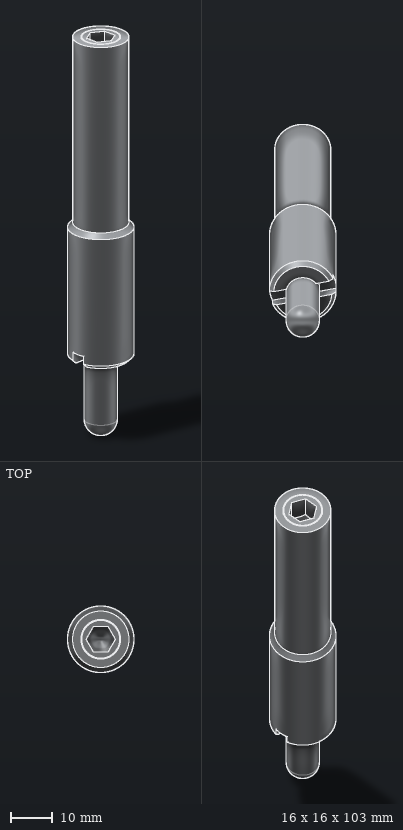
import cadquery as cq
import math

TOTAL_LENGTH = 103.0

BODY_DIAMETER = 16.0
NECK_DIAMETER = 13.5
HOUSING_BOTTOM = 20.0
NECK_BOTTOM = 55.0
LOWER_CHAMFER = 1.0
SHOULDER_CHAMFER = (BODY_DIAMETER - NECK_DIAMETER) / 2
SLOT_WIDTH = 3.5
SLOT_DEPTH = 3.1

PIN_DIAMETER = 8.0
HEAD_DIAMETER = 9.1
HEAD_LENGTH = 15.5
HEAD_BOTTOM = TOTAL_LENGTH - HEAD_LENGTH
SOCKET_WIDTH = 6.1
SOCKET_DEPTH = 6.2
SOCKET_CORNERS = SOCKET_WIDTH / math.cos(math.pi / 6)
CONE_DEPTH = SOCKET_CORNERS / 2 * math.tan(math.pi / 6)

HEAD_CLEARANCE = 0.2
COUNTERBORE_DIAMETER = HEAD_DIAMETER + 2 * HEAD_CLEARANCE


def cylinder(diameter, bottom, top):
    """Upright cylinder on the Z axis."""
    return cq.Workplane("XY").workplane(offset=bottom).circle(diameter / 2).extrude(top - bottom)


def revolve_about_z(outline):
    """Full revolution of a closed (radius, height) outline."""
    return cq.Workplane("XZ").polyline(outline).close().revolve(360, (0, 0, 0), (0, 1, 0))


def make_housing():
    """Stepped sleeve with a counterbored through hole and a slot across its lower end."""
    body_radius = BODY_DIAMETER / 2
    neck_radius = NECK_DIAMETER / 2
    outline = [
        (0, HOUSING_BOTTOM),
        (body_radius - LOWER_CHAMFER, HOUSING_BOTTOM),
        (body_radius, HOUSING_BOTTOM + LOWER_CHAMFER),
        (body_radius, NECK_BOTTOM - SHOULDER_CHAMFER),
        (neck_radius, NECK_BOTTOM),
        (neck_radius, TOTAL_LENGTH),
        (0, TOTAL_LENGTH),
    ]
    sleeve = revolve_about_z(outline)
    slot = (
        cq.Workplane("XY")
        .workplane(offset=HOUSING_BOTTOM)
        .rect(SLOT_WIDTH, BODY_DIAMETER)
        .extrude(SLOT_DEPTH)
    )
    bore = cylinder(PIN_DIAMETER, HOUSING_BOTTOM, TOTAL_LENGTH)
    counterbore = cylinder(COUNTERBORE_DIAMETER, HEAD_BOTTOM, TOTAL_LENGTH)
    return sleeve.cut(slot).cut(bore).cut(counterbore)


def make_socket():
    """Hexagonal key socket whose conical bottom starts at the hexagon corners."""
    corner_radius = SOCKET_CORNERS / 2
    cone_base = TOTAL_LENGTH - SOCKET_DEPTH
    cone_apex = cone_base - CONE_DEPTH
    hexagon = (
        cq.Workplane("XY")
        .workplane(offset=cone_apex)
        .polygon(6, SOCKET_CORNERS)
        .extrude(TOTAL_LENGTH - cone_apex)
    )
    drill_outline = [
        (0, cone_apex),
        (corner_radius, cone_base),
        (corner_radius, TOTAL_LENGTH),
        (0, TOTAL_LENGTH),
    ]
    return hexagon.intersect(revolve_about_z(drill_outline))


def make_pin():
    """Headed pin with a round tip, its head resting on the counterbore floor."""
    tip_radius = PIN_DIAMETER / 2
    tip = cq.Workplane("XY").sphere(tip_radius).translate((0, 0, tip_radius))
    shank = cylinder(PIN_DIAMETER, tip_radius, HEAD_BOTTOM)
    head = cylinder(HEAD_DIAMETER, HEAD_BOTTOM, TOTAL_LENGTH)
    return tip.union(shank).union(head).cut(make_socket())


housing = make_housing()
pin = make_pin()

result = cq.Compound.makeCompound([housing.val(), pin.val()])